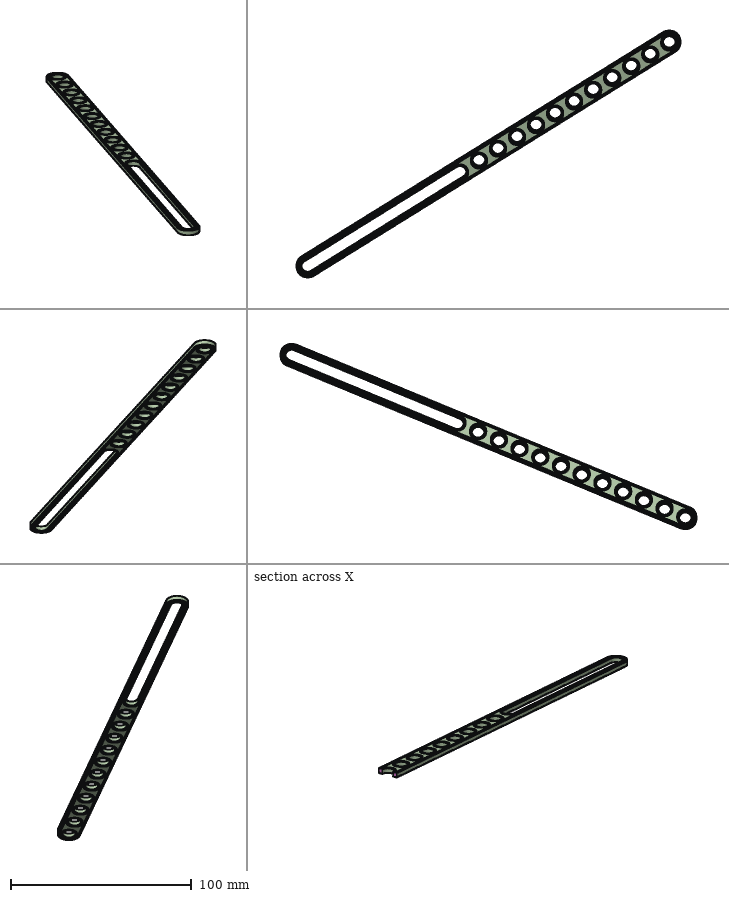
import cadquery as cq

length = 250.0
width = 12.5
half_thickness = 1.55
edge_chamfer = 0.28

pitch = width
hole_count = 11
hole_diameter = 7.0
first_hole_x = (width - length) / 2
slot_start_x = first_hole_x + hole_count * pitch
slot_end_x = (length - width) / 2

recess_depth = 0.2
outer_rim_width = 1.08
collar_diameter = 9.2


def round_ended_prism(long_side, short_side, half_height):
    """Bar with full-round ends, centred on the origin."""
    return cq.Workplane("XY").slot2D(long_side, short_side).extrude(half_height, both=True)


def hole_and_slot_shapes(diameter, half_height):
    """Solid cylinders at the holes plus a solid filling the slot, all of one diameter."""
    hole_centres = [(first_hole_x + i * pitch, 0) for i in range(hole_count)]
    cylinders = (
        cq.Workplane("XY")
        .pushPoints(hole_centres)
        .circle(diameter / 2)
        .extrude(half_height, both=True)
    )
    slot_spacing = slot_end_x - slot_start_x
    slot_centre_x = (slot_start_x + slot_end_x) / 2
    slot_filler = round_ended_prism(slot_spacing + diameter, diameter, half_height)
    return cylinders.union(slot_filler.translate((slot_centre_x, 0, 0)))


def recessed_body():
    """Bar with both faces recessed between the outer rim and the collars."""
    floor_height = half_thickness - recess_depth
    bar = round_ended_prism(length, width, half_thickness)
    inside_rim = round_ended_prism(
        length - 2 * outer_rim_width, width - 2 * outer_rim_width, half_thickness
    )
    core = round_ended_prism(length, width, floor_height)
    collars = hole_and_slot_shapes(collar_diameter, half_thickness)
    return bar.cut(inside_rim).union(core).union(collars)


def chamfer_outline(body):
    """Chamfer the outer edge of the rim on both faces."""
    edges = []
    for face in body.faces("|Z").vals():
        outline = face.outerWire()
        if outline.BoundingBox().ylen > width - outer_rim_width:
            edges.extend(outline.Edges())
    return body.newObject(edges).chamfer(edge_chamfer)


def chamfer_bores(body):
    """Chamfer the mouth of every hole and of the slot on both faces."""
    edges = []
    for face in body.faces("|Z").vals():
        for wire in face.innerWires():
            if wire.BoundingBox().ylen < collar_diameter - edge_chamfer:
                edges.extend(wire.Edges())
    return body.newObject(edges).chamfer(edge_chamfer)


body = chamfer_outline(recessed_body())
bored_body = body.cut(hole_and_slot_shapes(hole_diameter, half_thickness))
result = chamfer_bores(bored_body)